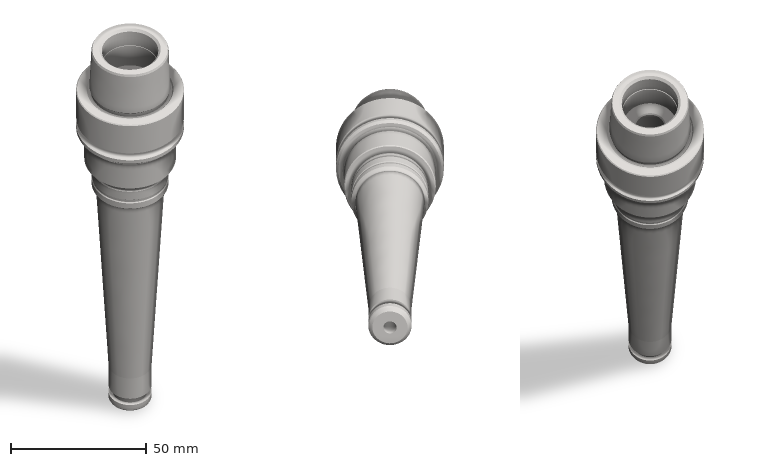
import cadquery as cq

flange_d = 40.0
v_groove_d = 34.8
shoulder_d = 34.0
neck_flare_d = 35.0
neck_d = 33.3
collar_d = 28.5
collar_groove_d = 27.8
shank_top_d = 25.5
tip_d = 16.0
tip_edge_d = 15.5
tip_groove_d = 13.0
cone_base_d = 30.1
cone_top_d = 28.7
undercut_d = 29.2
face_recess_d = 32.2
face_recess_floor_d = 31.3
mouth_d = 22.7
bore_d = 21.0
lower_bore_d = 20.5
counterbore_mouth_d = 11.8
counterbore_d = 11.0
coolant_d = 5.0

tip_edge_z = 1.0
tip_chamfer_top_z = 1.5
tip_groove_low, tip_groove_high = 4.0, 7.2
shank_base_z = 17.5
collar_z = 107.5
relief_z = 120.2
shoulder_z = 121.0
shoulder_top_z = 133.4
ring_low, ring_high = 136.8, 138.3
v_groove_low, v_groove_high = 139.5, 140.8
flange_z = 141.9
flange_top_z = 156.0
cone_z = 157.5
top_z = 176.0

small_chamfer = 0.4
undercut_slope = 0.5
top_chamfer = 0.9
top_chamfer_width = 0.4
collar_chamfer = 1.2
ring_slope = 0.9
neck_flare = 0.7
face_recess_depth = 0.5
collar_groove_slope = 0.4
mouth_depth = 0.9
bore_depth = 7.7
lower_bore_depth = 17.6
counterbore_depth = 35.2
counterbore_chamfer = (counterbore_mouth_d - counterbore_d) / 2

collar_groove_bands = [(111.4, 113.2), (117.2, 119.2)]


def revolve_outline(points):
    """Revolve (diameter, height) points, closed along the Z axis."""
    radial_points = [(diameter / 2, z) for diameter, z in points]
    axis_points = [(0, points[-1][1]), (0, points[0][1])]
    outline = cq.Workplane("XZ").polyline(radial_points + axis_points).close()
    return outline.revolve(360, (0, 0, 0), (0, 1, 0))


def groove_cutter(floor_d, rim_d, slope, low, high):
    """Ring that opens from a floor diameter to a rim diameter, each side rising over one slope height."""
    radii_and_heights = [
        (rim_d / 2, low),
        (floor_d / 2, low + slope),
        (floor_d / 2, high - slope),
        (rim_d / 2, high),
    ]
    outline = cq.Workplane("XZ").polyline(radii_and_heights).close()
    return outline.revolve(360, (0, 0, 0), (0, 1, 0))


body = revolve_outline([
    (tip_groove_d, 0),
    (tip_edge_d, tip_edge_z),
    (tip_d, tip_chamfer_top_z),
    (tip_d, tip_groove_low),
    (tip_groove_d, tip_groove_low),
    (tip_groove_d, tip_groove_high),
    (tip_d, tip_groove_high),
    (tip_d, shank_base_z),
    (shank_top_d, collar_z),
    (collar_d - 2 * collar_chamfer, collar_z),
    (collar_d, collar_z + collar_chamfer),
    (collar_d, relief_z),
    (collar_groove_d, relief_z),
    (collar_groove_d, shoulder_z),
    (shoulder_d - 2 * small_chamfer, shoulder_z),
    (shoulder_d, shoulder_z + small_chamfer),
    (shoulder_d, shoulder_top_z),
    (neck_d, shoulder_top_z),
    (neck_d, ring_low - ring_slope - neck_flare),
    (neck_flare_d, ring_low - ring_slope),
    (flange_d - 2 * ring_slope, ring_low - ring_slope),
    (flange_d, ring_low),
    (flange_d, ring_high),
    (v_groove_d, v_groove_low),
    (v_groove_d, v_groove_high),
    (flange_d, flange_z),
    (flange_d, flange_top_z - small_chamfer),
    (flange_d - 2 * small_chamfer, flange_top_z),
    (face_recess_d, flange_top_z),
    (face_recess_floor_d, flange_top_z - face_recess_depth),
    (undercut_d, flange_top_z - face_recess_depth),
    (undercut_d, cone_z - undercut_slope),
    (cone_base_d, cone_z),
    (cone_top_d, top_z - top_chamfer),
    (cone_top_d - 2 * top_chamfer_width, top_z),
])

for low, high in collar_groove_bands:
    body = body.cut(groove_cutter(collar_groove_d, collar_d, collar_groove_slope, low, high))

bore = revolve_outline([
    (coolant_d, 0),
    (coolant_d, top_z - counterbore_depth),
    (counterbore_d, top_z - counterbore_depth),
    (counterbore_d, top_z - lower_bore_depth - counterbore_chamfer),
    (counterbore_mouth_d, top_z - lower_bore_depth),
    (lower_bore_d, top_z - lower_bore_depth),
    (lower_bore_d, top_z - bore_depth),
    (bore_d, top_z - bore_depth),
    (bore_d, top_z - mouth_depth),
    (mouth_d, top_z),
])
result = body.cut(bore)